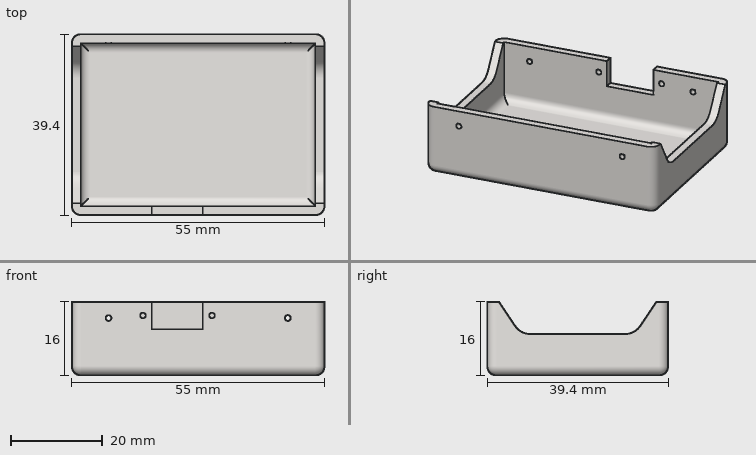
import cadquery as cq

length = 55.0
width = 39.4
height = 16.0
wall = 2.0
floor = 2.0
outer_radius = 2.0
inner_radius = 2.0

opening_depth = 7.0
opening_top_width = 34.2
opening_bottom_width = 24.85
opening_radius = 4.0

notch_width = 11.1
notch_depth = 6.0
notch_center_x = -4.5

hole_diameter = 1.2
through_hole_spacing = 39.0
through_hole_drop = 3.5
notch_hole_spacing = 15.0
notch_hole_drop = 2.95

front_y = -width / 2


def tray():
    """Open box with rounded outer edges and a filleted floor inside."""
    body = (
        cq.Workplane("XY")
        .box(length, width, height, centered=(True, True, False))
        .edges("|Z or <Z")
        .fillet(outer_radius)
    )
    cavity = (
        cq.Workplane("XY")
        .workplane(offset=floor)
        .rect(length - 2 * wall, width - 2 * wall)
        .extrude(height - floor)
        .faces("<Z")
        .edges()
        .fillet(inner_radius)
    )
    return body.cut(cavity)


def end_opening():
    """Flared cutter running along X through both end walls."""
    bottom_z = height - opening_depth
    return (
        cq.Workplane("YZ")
        .polyline([
            (-opening_top_width / 2, height),
            (-opening_bottom_width / 2, bottom_z),
            (opening_bottom_width / 2, bottom_z),
            (opening_top_width / 2, height),
        ])
        .close()
        .extrude(length / 2, both=True)
        .faces("<Z")
        .edges("|X")
        .fillet(opening_radius)
    )


def front_notch():
    """Rectangular cutter for the top edge of the front wall."""
    return (
        cq.Workplane("XY")
        .box(notch_width, wall, notch_depth, centered=(True, False, False))
        .translate((notch_center_x, front_y, height - notch_depth))
    )


def hole_pair(center_x, spacing, drop, depth):
    """Two holes along Y from the front face, drop below the rim."""
    positions = [(center_x + side * spacing / 2, height - drop) for side in (-1, 1)]
    return (
        cq.Workplane("XZ", origin=(0, front_y, 0))
        .pushPoints(positions)
        .circle(hole_diameter / 2)
        .extrude(-depth)
    )


result = (
    tray()
    .cut(end_opening())
    .cut(front_notch())
    .cut(hole_pair(0, through_hole_spacing, through_hole_drop, width))
    .cut(hole_pair(notch_center_x, notch_hole_spacing, notch_hole_drop, wall))
)